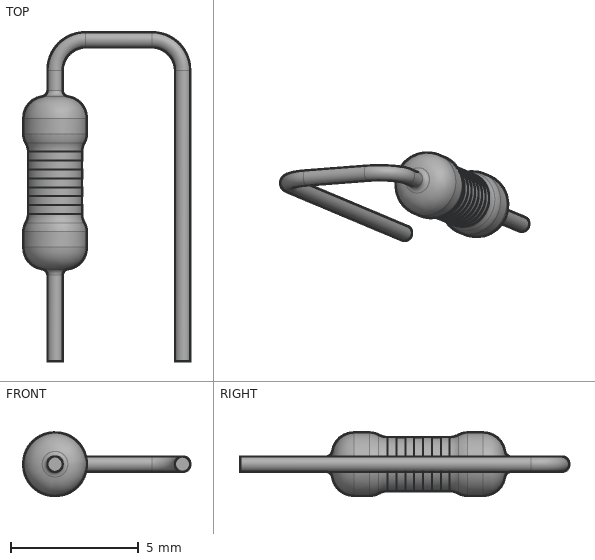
import cadquery as cq
import math

overall_length = 12.9
overall_width = 6.55
wire_radius = 0.6 / 2
cap_radius = 2.5 / 2
core_radius = 2.13 / 2
band_radius = 2.14 / 2

top_reach = 5.91
bend_radius = 1.2
lead_spacing = overall_width - cap_radius - wire_radius
crossbar_y = top_reach - wire_radius
lead_end_y = top_reach - overall_length

band_count = 4
band_width = 0.35
core_half_length = (2 * band_count - 1) * band_width / 2
neck_length = 0.7
cap_start = core_half_length + neck_length
cap_length = 0.6
cap_end = cap_start + cap_length
dome_radius = 0.88
lead_fillet = 0.23

ARC_MIDDLE = math.sqrt(0.5)


def dome_and_fillet_points():
    """Return the points of the two tangent arcs from the cap to the wire."""
    dome_x = cap_radius - dome_radius
    fillet_x = wire_radius + lead_fillet
    centre_distance = dome_radius + lead_fillet
    tangent_angle = math.acos((fillet_x - dome_x) / centre_distance)
    fillet_y = cap_end + centre_distance * math.sin(tangent_angle)

    def on_dome(angle):
        return (dome_x + dome_radius * math.cos(angle), cap_end + dome_radius * math.sin(angle))

    def on_fillet(angle):
        return (fillet_x - lead_fillet * math.cos(angle), fillet_y - lead_fillet * math.sin(angle))

    return (
        on_dome(tangent_angle / 2),
        on_dome(tangent_angle),
        on_fillet((math.pi - tangent_angle) / 2),
        on_fillet(0),
    )


def make_body_end():
    """Revolve one end of the body: S-shaped neck, cap, dome and lead fillet."""
    half_neck_length = neck_length / 2
    half_neck_step = (cap_radius - core_radius) / 2
    neck_arc_radius = (half_neck_length**2 + half_neck_step**2) / (2 * half_neck_step)
    half_turn = math.asin(half_neck_length / neck_arc_radius) / 2
    neck_quarter = (
        core_radius + neck_arc_radius * (1 - math.cos(half_turn)),
        core_half_length + neck_arc_radius * math.sin(half_turn),
    )
    neck_middle = (core_radius + half_neck_step, core_half_length + half_neck_length)
    dome_middle, dome_end, fillet_middle, fillet_end = dome_and_fillet_points()
    return (
        cq.Workplane("XY")
        .moveTo(0, core_half_length)
        .lineTo(core_radius, core_half_length)
        .threePointArc(neck_quarter, neck_middle)
        .tangentArcPoint((cap_radius, cap_start), relative=False)
        .lineTo(cap_radius, cap_end)
        .threePointArc(dome_middle, dome_end)
        .threePointArc(fillet_middle, fillet_end)
        .lineTo(0, fillet_end[1])
        .close()
        .revolve(360, (0, 0), (0, 1))
    )


def make_cylinder(radius, start_y, length):
    """Make a cylinder about the Y axis, reaching from start_y toward +Y."""
    return cq.Workplane("XZ", origin=(0, start_y, 0)).circle(radius).extrude(-length)


def make_wire():
    """Sweep the wire through the body, round both bends and back along the far lead."""
    bend_y = crossbar_y - bend_radius
    far_bend_x = lead_spacing - bend_radius
    bend_middle_y = bend_y + bend_radius * ARC_MIDDLE
    path = (
        cq.Workplane("XY")
        .moveTo(0, lead_end_y)
        .lineTo(0, bend_y)
        .threePointArc((bend_radius * (1 - ARC_MIDDLE), bend_middle_y), (bend_radius, crossbar_y))
        .lineTo(far_bend_x, crossbar_y)
        .threePointArc((far_bend_x + bend_radius * ARC_MIDDLE, bend_middle_y), (lead_spacing, bend_y))
        .lineTo(lead_spacing, lead_end_y)
    )
    return cq.Workplane("XZ", origin=(0, lead_end_y, 0)).circle(wire_radius).sweep(path)


body_end = make_body_end()
core = make_cylinder(core_radius, -core_half_length, 2 * core_half_length)
body = core.union(body_end).union(body_end.mirror("XZ"))

for band_index in range(band_count):
    band_start = -core_half_length + 2 * band_index * band_width
    body = body.union(make_cylinder(band_radius, band_start, band_width))

result = body.union(make_wire())